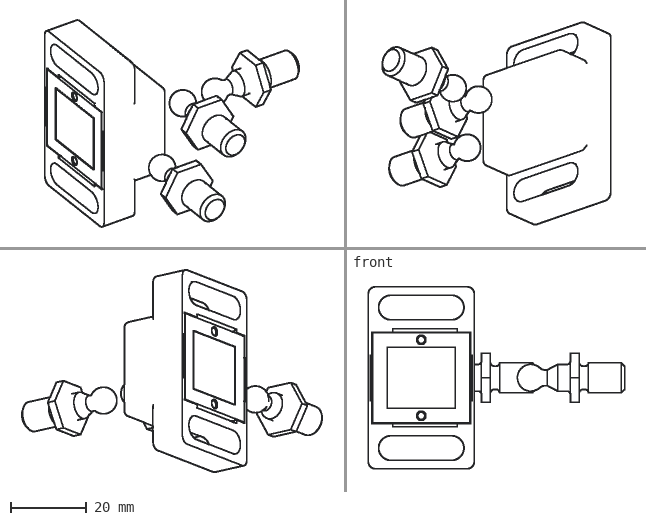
import cadquery as cq
import math

WIDTH = 28.0
FLANGE_HEIGHT = 48.0
FLANGE_DEPTH = 10.0
FLANGE_CORNER_RADIUS = 2.0
FLANGE_BACK_ROUND = 0.5
BLOCK_HEIGHT = 26.0
HOUSING_DEPTH = 20.0
BLOCK_ROUND = 1.5
BLOCK_BACK_ROUND = 1.49

SLOT_LENGTH = 22.4
SLOT_HEIGHT = 6.4
SLOT_OFFSET = 18.5

COVER_WIDTH = 25.6
COVER_HEIGHT = 23.7
COVER_THICKNESS = 3.0
COVER_CLEARANCE = 0.2
POCKET_WIDTH = COVER_WIDTH + 2 * COVER_CLEARANCE
POCKET_HEIGHT = COVER_HEIGHT + 2 * COVER_CLEARANCE

RIM_NOTCH_LENGTH = 17.0
RIM_NOTCH_SHIFT = 1.0
RIM_NOTCH_REACH = 0.9
RIM_NOTCH_DEPTH = 2.4
SIDE_NOTCH_LENGTH = 12.0
SIDE_NOTCH_REACH = 0.4
SIDE_NOTCH_DEPTH = 0.4

WINDOW_WIDTH = 18.0
WINDOW_HEIGHT = 16.0
WINDOW_DEPTH = 0.25
HOLE_OFFSET = 10.0
HOLE_DIAMETER = 1.9
HOLE_MOUTH_DIAMETER = 2.45
HOLE_DEPTH = 2.5

BALL_RADIUS = 3.55
NECK_RADIUS = 2.1
NECK_FILLET = 1.9
NECK_END = 4.3
CONE_END = 7.1
HEX_START = 10.4
HEX_THICKNESS = 2.35
HEX_ACROSS_FLATS = 13.0
HEX_END = HEX_START + HEX_THICKNESS
HEX_FILLET = 0.9
GROOVE_RADIUS = 3.1
GROOVE_FILLET = 1.0
GROOVE_WIDTH = 2.4
THREAD_RADIUS = 4.0
RUNOUT_FILLET = THREAD_RADIUS - GROOVE_RADIUS
THREAD_START = HEX_END + GROOVE_WIDTH
THREAD_CHAMFER = 1.0
STUD_END = 24.75

ASSEMBLY_END_X = 53.6
ASSEMBLY_END_Y = 65.69
STACK_X = 5.45

STUD_PLACES = [
    (ASSEMBLY_END_X - STUD_END, 8.5, 0),
    (STACK_X, 30.75, 0),
    (STACK_X, ASSEMBLY_END_Y - STUD_END, 90),
]


def front_box(width, height, depth):
    """Box centered on X and Z that starts at the front face and goes back along +Y."""
    return cq.Workplane("XY").box(width, depth, height, centered=(True, False, True))


def notch(reach, depth, length):
    """Wedge along Z whose legs lie on X and Y; it is widest at the front face."""
    return (
        cq.Workplane("XY")
        .polyline([(0, 0), (reach, 0), (0, depth)])
        .close()
        .extrude(length / 2, both=True)
    )


def make_front_pocket():
    """Cutter for the cover plate's pocket and the notches around its rim."""
    pocket = front_box(POCKET_WIDTH, POCKET_HEIGHT, COVER_THICKNESS)
    side_notch = notch(SIDE_NOTCH_REACH, SIDE_NOTCH_DEPTH, SIDE_NOTCH_LENGTH)
    side_notch = side_notch.translate((POCKET_WIDTH / 2, 0, 0))
    rim_notch = (
        notch(RIM_NOTCH_REACH, RIM_NOTCH_DEPTH, RIM_NOTCH_LENGTH)
        .rotate((0, 0, 0), (0, 1, 0), -90)
        .translate((RIM_NOTCH_SHIFT, 0, POCKET_HEIGHT / 2))
    )
    for cutter, mirror_plane in ((side_notch, "YZ"), (rim_notch, "XY")):
        pocket = pocket.union(cutter).union(cutter.mirror(mirror_plane))
    return pocket


def make_housing():
    flange = front_box(WIDTH, FLANGE_HEIGHT, FLANGE_DEPTH).edges("|Y").fillet(FLANGE_CORNER_RADIUS)
    flange = flange.faces(">Y").edges().fillet(FLANGE_BACK_ROUND)
    block = front_box(WIDTH, BLOCK_HEIGHT, HOUSING_DEPTH).edges("|Y").fillet(BLOCK_ROUND)
    block = block.faces(">Y").edges().fillet(BLOCK_BACK_ROUND)
    housing = flange.union(block)

    slots = (
        cq.Workplane("XZ")
        .pushPoints([(0, SLOT_OFFSET), (0, -SLOT_OFFSET)])
        .slot2D(SLOT_LENGTH, SLOT_HEIGHT)
        .extrude(-FLANGE_DEPTH)
    )
    return housing.cut(slots).cut(make_front_pocket())


def make_cover():
    cover = front_box(COVER_WIDTH, COVER_HEIGHT, COVER_THICKNESS)
    cover = cover.cut(front_box(WINDOW_WIDTH, WINDOW_HEIGHT, WINDOW_DEPTH))
    mouth_depth = (HOLE_MOUTH_DIAMETER - HOLE_DIAMETER) / 2
    hole = (
        cq.Workplane("XY")
        .polyline([
            (0, 0),
            (HOLE_MOUTH_DIAMETER / 2, 0),
            (HOLE_DIAMETER / 2, mouth_depth),
            (HOLE_DIAMETER / 2, HOLE_DEPTH),
            (0, HOLE_DEPTH),
        ])
        .close()
        .revolve(360, (0, 0, 0), (0, 1, 0))
    )
    for side in (1, -1):
        cover = cover.cut(hole.translate((0, 0, side * HOLE_OFFSET)))
    return cover


def make_stud():
    """Ball stud along +X with its ball center at the origin."""
    fillet_center_radius = NECK_RADIUS + NECK_FILLET
    fillet_center_distance = BALL_RADIUS + NECK_FILLET
    neck_start = math.sqrt(fillet_center_distance**2 - fillet_center_radius**2)
    touch = BALL_RADIUS / fillet_center_distance

    profile = (
        cq.Workplane("XZ")
        .moveTo(-BALL_RADIUS, 0)
        .threePointArc((0, BALL_RADIUS), (touch * neck_start, touch * fillet_center_radius))
        .radiusArc((neck_start, NECK_RADIUS), -NECK_FILLET)
        .lineTo(NECK_END, NECK_RADIUS)
        .lineTo(CONE_END, BALL_RADIUS)
        .lineTo(HEX_START - HEX_FILLET, BALL_RADIUS)
        .radiusArc((HEX_START, BALL_RADIUS + HEX_FILLET), -HEX_FILLET)
        .lineTo(HEX_END, GROOVE_RADIUS + GROOVE_FILLET)
        .radiusArc((HEX_END + GROOVE_FILLET, GROOVE_RADIUS), -GROOVE_FILLET)
        .lineTo(THREAD_START - RUNOUT_FILLET, GROOVE_RADIUS)
        .radiusArc((THREAD_START, THREAD_RADIUS), -RUNOUT_FILLET)
        .lineTo(STUD_END - THREAD_CHAMFER, THREAD_RADIUS)
        .lineTo(STUD_END, THREAD_RADIUS - THREAD_CHAMFER)
        .lineTo(STUD_END, 0)
        .close()
    )
    turned = profile.revolve(360, (0, 0, 0), (1, 0, 0))
    hexagon = (
        cq.Workplane("YZ", origin=(HEX_START, 0, 0))
        .polygon(6, HEX_ACROSS_FLATS / math.cos(math.pi / 6))
        .extrude(HEX_THICKNESS)
    )
    return turned.union(hexagon)


housing = make_housing()
cover = make_cover()
studs = [
    make_stud().rotate((0, 0, 0), (0, 0, 1), turn).translate((x, y, 0))
    for x, y, turn in STUD_PLACES
]

result = cq.Compound.makeCompound([housing.val(), cover.val(), *[stud.val() for stud in studs]])